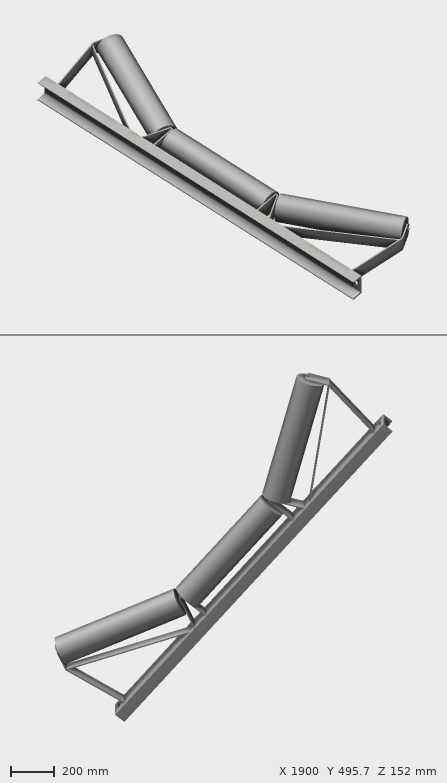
import cadquery as cq
import math


beam_length = 1900.0
beam_height = 120.0
flange_width = 55.0
web_thickness = 7.0
flange_tip_thickness = 6.8
flange_root_thickness = 11.0
root_radius = 9.0
tip_radius = 4.5

slot_x = 923.0
slot_width = 17.0
slot_length = 35.0

roller_diameter = 133.0
roller_length = 600.0
end_gap = 8.0
shaft_across_flats = 17.0
centre_axis_y = 118.0
roller_drop = 19.0
trough_angle = 25.0
inner_end_x = 342.0
inner_end_y = 127.0

plate_thickness = 6.0
plate_height = 80.0
bracket_top_y = 148.0
bracket_z = -4.0
arm_foot_x = 880.0
arm_bend_y = 312.0
arm_tip_y = 410.0
arm_tip_chamfer = 19.0
strut_foot_x = 430.0
strut_head_y = 304.0
strut_height = 60.0

trough = math.radians(trough_angle)
tilt = math.asin(roller_drop / roller_length)
stub_length = end_gap + plate_thickness
shaft_length = roller_length + 2 * stub_length


def lean_x(offset, y):
    """X at a given y on a line square to the right wing roller, at this distance outward of its inner end."""
    return inner_end_x + offset / math.cos(trough) - (y - inner_end_y) * math.tan(trough)


def mirrored(x_sign, solid):
    """The right-hand solid, or its mirror image for the left-hand side."""
    return solid if x_sign > 0 else solid.mirror("YZ")


def square_bar(width, length):
    """Square bar along X that starts at X = 0."""
    return cq.Workplane("XY").box(length, width, width, centered=(False, True, True))


def roller_along_x():
    """Roller whose inner end is at the origin, with a square shaft that sticks out at both ends."""
    drum = cq.Workplane("YZ").circle(roller_diameter / 2).extrude(roller_length)
    shaft = square_bar(shaft_across_flats, shaft_length).translate((-stub_length, 0, 0))
    return drum.union(shaft)


def set_on_wing(body):
    """Moves a body from along X to the axis of the right wing roller."""
    tilted = body.rotate((0, 0, 0), (0, 1, 0), -math.degrees(tilt))
    turned = tilted.rotate((0, 0, 0), (0, 0, 1), trough_angle)
    return turned.translate((inner_end_x, inner_end_y, -roller_drop))


def set_on_centre(body):
    """Moves a body from along X to the axis of the centre roller."""
    return body.translate((-roller_length / 2, centre_axis_y, -roller_drop))


def make_wing_roller(x_sign):
    return mirrored(x_sign, set_on_wing(roller_along_x()))


def make_beam():
    half = beam_height / 2
    root_z = half - flange_root_thickness
    tip_z = half - flange_tip_thickness
    profile = [
        (0, -half),
        (-flange_width, -half),
        (-flange_width, -tip_z),
        (-web_thickness, -root_z),
        (-web_thickness, root_z),
        (-flange_width, tip_z),
        (-flange_width, half),
        (0, half),
    ]
    beam = cq.Workplane("YZ").polyline(profile).close().extrude(beam_length / 2, both=True)
    root_corners = [(0, -web_thickness, z) for z in (-root_z, root_z)]
    tip_corners = [(0, -flange_width, z) for z in (-tip_z, tip_z)]
    for corners, radius in ((root_corners, root_radius), (tip_corners, tip_radius)):
        for corner in corners:
            beam = beam.edges(cq.selectors.NearestToPointSelector(corner)).fillet(radius)
    slots = (
        cq.Workplane("XZ")
        .pushPoints([(-slot_x, 0), (slot_x, 0)])
        .slot2D(slot_length, slot_width, angle=90)
        .extrude(web_thickness)
    )
    return beam.cut(slots)


def make_inner_bracket(x_sign):
    """Bent plate between the centre roller and a wing roller, one leg square to each."""
    near_face = roller_length / 2 + end_gap
    far_face = near_face + plate_thickness
    inner_y = bracket_top_y - plate_thickness
    near_lean = -end_gap
    far_lean = -end_gap - plate_thickness
    profile = [
        (near_face, 0),
        (near_face, bracket_top_y),
        (lean_x(near_lean, bracket_top_y), bracket_top_y),
        (lean_x(near_lean, 0), 0),
        (lean_x(far_lean, 0), 0),
        (lean_x(far_lean, inner_y), inner_y),
        (far_face, inner_y),
        (far_face, 0),
    ]
    bracket = cq.Workplane("XY").polyline(profile).close().extrude(plate_height / 2, both=True)
    bracket = bracket.translate((0, 0, bracket_z))
    roller = roller_along_x()
    bracket = bracket.cut(set_on_centre(roller)).cut(set_on_wing(roller))
    return mirrored(x_sign, bracket)


arm_near_offset = roller_length + end_gap
arm_bend_x = lean_x(arm_near_offset, arm_bend_y)
arm_slope = (arm_bend_x - arm_foot_x) / arm_bend_y
arm_width_x = plate_thickness / math.cos(trough)


def make_outer_arm(x_sign):
    """Bent plate from the web to the outer end of a wing roller, with a shaft slot that is open at the tip."""
    tip_x = lean_x(arm_near_offset, arm_tip_y)
    profile = [
        (arm_foot_x, 0),
        (arm_bend_x, arm_bend_y),
        (tip_x, arm_tip_y),
        (tip_x + plate_thickness * math.cos(trough), arm_tip_y + plate_thickness * math.sin(trough)),
        (arm_bend_x + arm_width_x, arm_bend_y),
        (arm_foot_x + arm_width_x, 0),
    ]
    arm = cq.Workplane("XY").polyline(profile).close().extrude(plate_height / 2, both=True)
    towards_tip = cq.Vector(-math.sin(trough), math.cos(trough), 0)
    tip_face = arm.faces(cq.selectors.DirectionMinMaxSelector(towards_tip))
    arm = tip_face.edges("#Z").chamfer(arm_tip_chamfer)
    slot = (
        cq.Workplane("XY")
        .box(2 * stub_length, plate_height, shaft_across_flats, centered=(False, False, True))
        .translate((roller_length, -shaft_across_flats / 2, 0))
    )
    return mirrored(x_sign, arm.cut(set_on_wing(slot)))


def make_strut(x_sign):
    """Straight plate from the web up to the inner face of an outer arm, just below the arm's bend."""
    head_x = arm_foot_x + arm_slope * strut_head_y
    run_per_rise = (head_x - strut_foot_x) / strut_head_y
    half_width_x = plate_thickness / 2 * math.hypot(run_per_rise, 1)

    def side(shift):
        """Foot and head of the strut face that is shifted this far in X from the middle line."""
        foot_x = strut_foot_x + shift
        head_y = (arm_foot_x - foot_x) / (run_per_rise - arm_slope)
        return (foot_x, 0), (foot_x + run_per_rise * head_y, head_y)

    upper_foot, upper_head = side(-half_width_x)
    lower_foot, lower_head = side(half_width_x)
    profile = [upper_foot, upper_head, lower_head, lower_foot]
    strut = cq.Workplane("XY").polyline(profile).close().extrude(strut_height / 2, both=True)
    return mirrored(x_sign, strut)


beam = make_beam()
centre_roller = set_on_centre(roller_along_x())
bodies = [beam.val(), centre_roller.val()]
for x_sign in (-1, 1):
    for make_body in (make_wing_roller, make_inner_bracket, make_outer_arm, make_strut):
        bodies.append(make_body(x_sign).val())

result = cq.Compound.makeCompound(bodies)